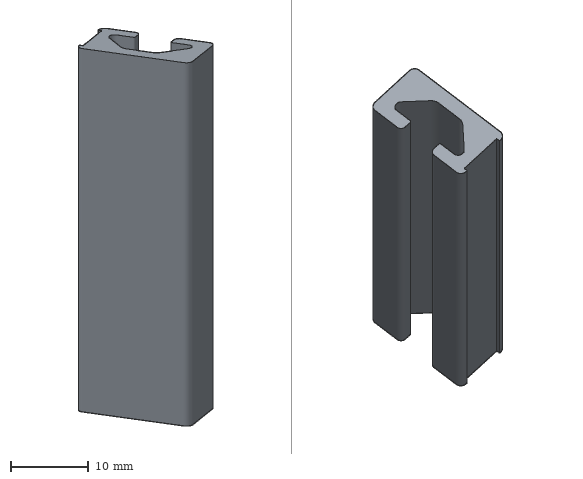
import cadquery as cq

width = 16.0
depth = 8.5
length = 50.0
outer_radius = 0.9

slot_width = 5.0
lip_thickness = 1.9
lip_outer_radius = 0.75
lip_inner_radius = 0.2

cavity_width = 11.5
floor_thickness = 2.1
floor_width = 4.8
cavity_corner_radius = 0.7
floor_radius = 1.5

groove_width = 6.25
groove_depth = 0.5

top_y = depth / 2
lip_y = top_y - lip_thickness
floor_y = -depth / 2 + floor_thickness
flank_y = floor_y + (cavity_width - floor_width) / 2


def prism(profile):
    """Extrude a profile symmetrically along the rail."""
    return profile.extrude(length / 2, both=True)


def edges_at(body, x, y):
    """Select the lengthwise edges at (+x, y) and (-x, y)."""
    reach = 0.05
    selected = None
    for side in (-1, 1):
        box = cq.selectors.BoxSelector(
            (side * x - reach, y - reach, -length),
            (side * x + reach, y + reach, length),
        )
        selected = box if selected is None else selected + box
    return body.edges("|Z").edges(selected)


def make_block():
    block = prism(cq.Workplane("XY").rect(width, depth))
    return block.edges("|Z").fillet(outer_radius)


def make_cavity():
    half_cavity = cavity_width / 2
    half_floor = floor_width / 2
    cavity = prism(
        cq.Workplane("XY")
        .moveTo(-half_cavity, lip_y)
        .lineTo(half_cavity, lip_y)
        .lineTo(half_cavity, flank_y)
        .lineTo(half_floor, floor_y)
        .lineTo(-half_floor, floor_y)
        .lineTo(-half_cavity, flank_y)
        .close()
    )
    for y in (lip_y, flank_y):
        cavity = edges_at(cavity, half_cavity, y).fillet(cavity_corner_radius)
    return edges_at(cavity, half_floor, floor_y).fillet(floor_radius)


def make_slot():
    return prism(cq.Workplane("XY").center(0, lip_y + lip_thickness / 2).rect(slot_width, lip_thickness))


def make_groove():
    return prism(cq.Workplane("XY").center(-width / 2, 0).rect(2 * groove_depth, groove_width))


rail = make_block().cut(make_cavity()).cut(make_slot()).cut(make_groove())

rail = edges_at(rail, slot_width / 2, top_y).fillet(lip_outer_radius)
result = edges_at(rail, slot_width / 2, lip_y).fillet(lip_inner_radius)